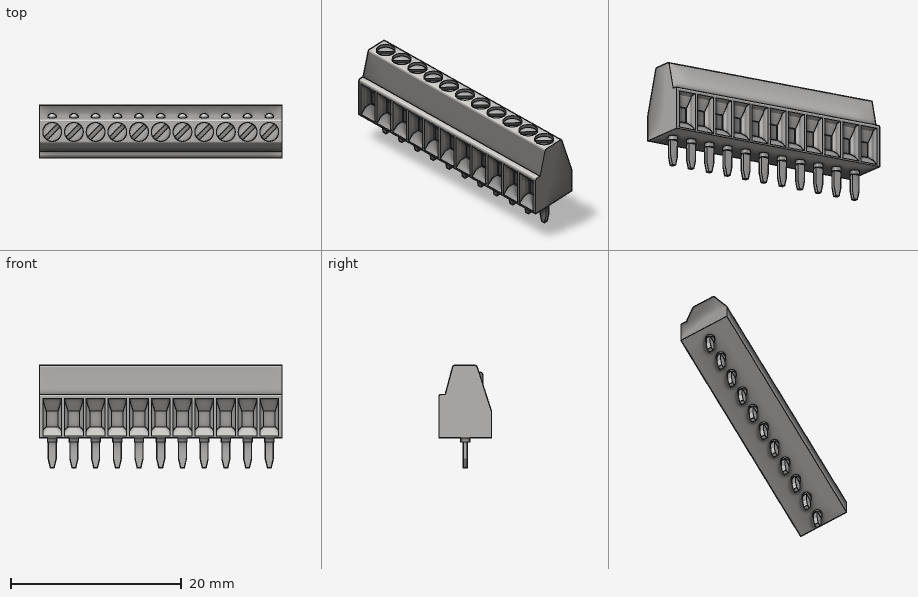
import cadquery as cq
import math

POLE_COUNT = 11
POLE_PITCH = 2.54
BODY_LENGTH = 28.4
POLE_X = [(i - (POLE_COUNT - 1) / 2) * POLE_PITCH for i in range(POLE_COUNT)]

BODY_DEPTH = 6.2
BODY_HEIGHT = 8.5
FRONT_Y = -BODY_DEPTH / 2
BACK_Y = BODY_DEPTH / 2
BACK_WALL_HEIGHT = 3.06
BACK_SLOPE_ANGLE = 18.0
SHELF_HEIGHT = 5.1
SHELF_DEPTH = 0.75
FRONT_SLOPE_ANGLE = 15.0
EDGE_RADIUS = 0.3

ENTRY_WIDTH = 2.2
ENTRY_BOTTOM = 0.2
ENTRY_TOP = 4.62
ENTRY_WALL_DEPTH = 0.6
ENTRY_CORNER_RADIUS = 0.5
ENTRY_CORNER_ANGLE = 45.0
CEILING_FLAT_DEPTH = 0.5
CEILING_RADIUS = 0.35

WINDOW_WIDTH = 1.36
WINDOW_BOTTOM = 1.3
WINDOW_TOP = 3.12
WINDOW_DEPTH = 0.2

SCREW_BORE_DIAMETER = 2.2
SCREW_Y = -0.05
SCREW_SINK = 0.4
SLOT_WIDTH = 0.5
SLOT_DEPTH = 0.5
SLOT_ANGLE = 45.0

STUD_DIAMETER = 1.1
STUD_Y = 1.55
STUD_TOP = 7.7
STUD_ROUNDING = 0.45

COLLAR_DIAMETER = 1.1
COLLAR_HEIGHT = 0.5
PIN_LENGTH = 3.5
PIN_WIDTH = 0.95
PIN_THICKNESS = 0.5
PIN_TIP_WIDTH = 0.45
PIN_TIP_LENGTH = 1.05


def along_x(outline, length):
    """Extrude a closed YZ outline along X, centred on X = 0."""
    return outline.extrude(length / 2, both=True)


def make_housing():
    back_run = (BODY_HEIGHT - BACK_WALL_HEIGHT) * math.tan(math.radians(BACK_SLOPE_ANGLE))
    front_run = (BODY_HEIGHT - SHELF_HEIGHT) * math.tan(math.radians(FRONT_SLOPE_ANGLE))
    shelf_back_y = FRONT_Y + SHELF_DEPTH
    top_front_y = shelf_back_y + front_run
    top_back_y = BACK_Y - back_run
    outline = cq.Workplane("YZ").polyline([
        (FRONT_Y, 0),
        (BACK_Y, 0),
        (BACK_Y, BACK_WALL_HEIGHT),
        (top_back_y, BODY_HEIGHT),
        (top_front_y, BODY_HEIGHT),
        (shelf_back_y, SHELF_HEIGHT),
        (FRONT_Y, SHELF_HEIGHT),
    ]).close()
    rounded_corners = [
        (top_back_y, BODY_HEIGHT),
        (top_front_y, BODY_HEIGHT),
        (FRONT_Y, SHELF_HEIGHT),
    ]
    housing = along_x(outline, BODY_LENGTH)
    for y, z in rounded_corners:
        edge = cq.selectors.NearestToPointSelector((0, y, z))
        housing = housing.edges("|X").edges(edge).fillet(EDGE_RADIUS)
    return housing


def make_wire_entry():
    """Funnel whose plan narrows to the clamp window, with a ramp below and a rounded ceiling."""
    half_entry = ENTRY_WIDTH / 2
    half_window = WINDOW_WIDTH / 2
    turn = math.radians(ENTRY_CORNER_ANGLE)
    wall_end_y = FRONT_Y + ENTRY_WALL_DEPTH
    arc_end_x = half_entry - ENTRY_CORNER_RADIUS * (1 - math.cos(turn))
    arc_end_y = wall_end_y + ENTRY_CORNER_RADIUS * math.sin(turn)
    arc_mid_x = half_entry - ENTRY_CORNER_RADIUS * (1 - math.cos(turn / 2))
    arc_mid_y = wall_end_y + ENTRY_CORNER_RADIUS * math.sin(turn / 2)
    throat_y = arc_end_y + (arc_end_x - half_window) / math.tan(turn)
    plan = (
        cq.Workplane("XY")
        .moveTo(-half_entry, FRONT_Y)
        .lineTo(half_entry, FRONT_Y)
        .lineTo(half_entry, wall_end_y)
        .threePointArc((arc_mid_x, arc_mid_y), (arc_end_x, arc_end_y))
        .lineTo(half_window, throat_y)
        .lineTo(-half_window, throat_y)
        .lineTo(-arc_end_x, arc_end_y)
        .threePointArc((-arc_mid_x, arc_mid_y), (-half_entry, wall_end_y))
        .close()
        .extrude(BODY_HEIGHT)
    )
    round_start_y = FRONT_Y + CEILING_FLAT_DEPTH
    side = (
        cq.Workplane("YZ")
        .moveTo(FRONT_Y, ENTRY_BOTTOM)
        .lineTo(throat_y, WINDOW_BOTTOM)
        .lineTo(throat_y, WINDOW_TOP)
        .lineTo(round_start_y + CEILING_RADIUS, ENTRY_TOP - CEILING_RADIUS)
        .radiusArc((round_start_y, ENTRY_TOP), -CEILING_RADIUS)
        .lineTo(FRONT_Y, ENTRY_TOP)
        .close()
    )
    funnel = plan.intersect(along_x(side, ENTRY_WIDTH))
    window = cq.Workplane("XY").box(
        WINDOW_WIDTH, WINDOW_DEPTH, WINDOW_TOP - WINDOW_BOTTOM, centered=(True, False, False)
    ).translate((0, throat_y, WINDOW_BOTTOM))
    return funnel.union(window)


def make_screw_recess():
    """Bore above the sunk screw head together with the driver slot in the head."""
    head_z = BODY_HEIGHT - SCREW_SINK
    bore = cq.Workplane("XY").workplane(offset=head_z).circle(SCREW_BORE_DIAMETER / 2)
    bore = bore.extrude(SCREW_SINK)
    slot = (
        cq.Workplane("XY")
        .workplane(offset=head_z - SLOT_DEPTH)
        .rect(SCREW_BORE_DIAMETER, SLOT_WIDTH)
        .extrude(SLOT_DEPTH)
        .rotate((0, 0, 0), (0, 0, 1), SLOT_ANGLE)
    )
    head = cq.Workplane("XY").workplane(offset=head_z - SLOT_DEPTH).circle(SCREW_BORE_DIAMETER / 2)
    recess = bore.union(slot.intersect(head.extrude(SLOT_DEPTH)))
    return recess.translate((0, SCREW_Y, 0))


def make_stud():
    stud = cq.Workplane("XY").circle(STUD_DIAMETER / 2).extrude(STUD_TOP)
    stud = stud.faces(">Z").edges().fillet(STUD_ROUNDING)
    inside = cq.Workplane("XY").box(
        STUD_DIAMETER, STUD_DIAMETER, BACK_WALL_HEIGHT, centered=(True, True, False)
    )
    return stud.cut(inside).translate((0, STUD_Y, 0))


def make_pin():
    collar = cq.Workplane("XY").circle(COLLAR_DIAMETER / 2).extrude(-COLLAR_HEIGHT)
    taper_z = PIN_TIP_LENGTH - PIN_LENGTH
    blade = cq.Workplane("XZ").polyline([
        (-PIN_WIDTH / 2, 0),
        (PIN_WIDTH / 2, 0),
        (PIN_WIDTH / 2, taper_z),
        (PIN_TIP_WIDTH / 2, -PIN_LENGTH),
        (-PIN_TIP_WIDTH / 2, -PIN_LENGTH),
        (-PIN_WIDTH / 2, taper_z),
    ]).close().extrude(PIN_THICKNESS / 2, both=True)
    return collar.union(blade)


def at_poles(shape):
    """One copy of the shape at every pole."""
    copies = [shape.val().translate(cq.Vector(x, 0, 0)) for x in POLE_X]
    return cq.Workplane(cq.Compound.makeCompound(copies))


result = (
    make_housing()
    .union(at_poles(make_stud()))
    .union(at_poles(make_pin()))
    .cut(at_poles(make_wire_entry()))
    .cut(at_poles(make_screw_recess()))
)